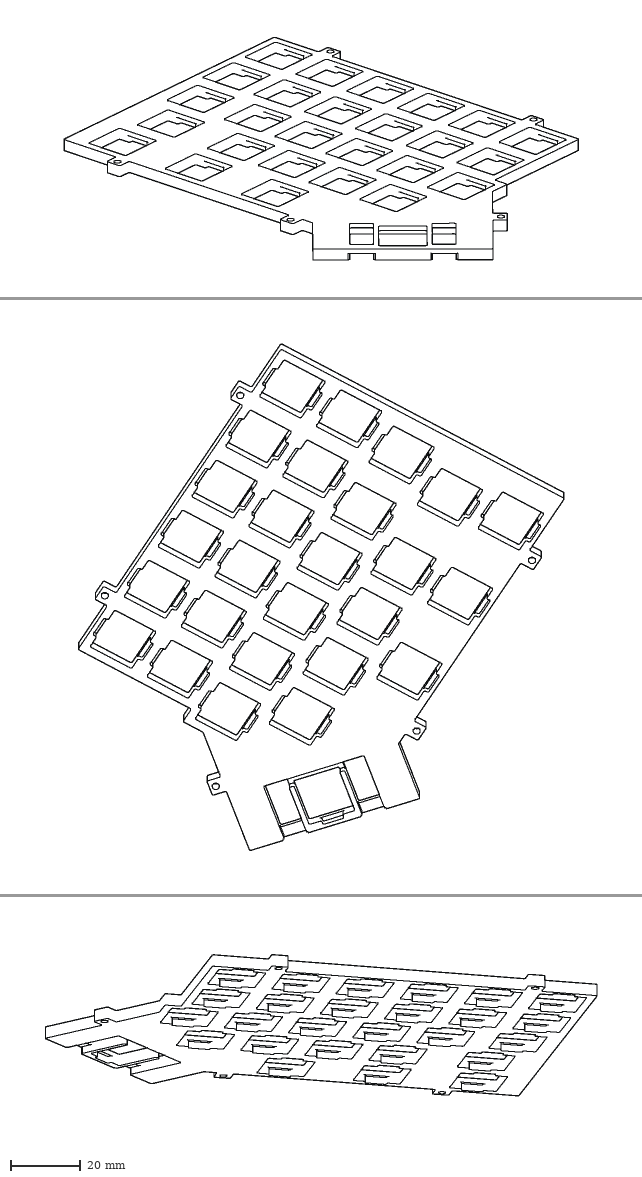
import cadquery as cq
import math


overall_width = 145.3
overall_depth = 113.7
field_width = 114.3
columns = 6
rows = 5
plate_height = 3.5
corner_radius = 0.5

pitch = field_width / columns
field_depth = rows * pitch

switch_size = 14.0
web_thickness = 1.5
recess_height = plate_height - web_thickness
clip_width = 6.4
clip_depth = 1.3

key_rows = [
    [0.5, 1.5, 2.5, 3.5, 4.5, 5.5],
    [0.5, 1.5, 2.5, 3.5, 4.5, 5.5],
    [0.625, 1.75, 2.75, 3.75, 4.75, 5.75],
    [0.875, 2.25, 3.25, 4.25, 5.25],
    [0.75, 2.25, 3.75],
]
wide_rows_right = 6.25 * pitch
wide_rows_top = 3 * pitch

tab_width = 5.0
tab_length = 4.2
tab_hole_diameter = 2.0
tab_hole_offset = 2.3
top_tabs_x = [pitch, 5 * pitch]
bottom_tabs_x = [22.2, 87.2]
thumb_tab_v = 23.1

thumb_angle = 40.0
thumb_angle_rad = math.radians(thumb_angle)
corner_loss = corner_radius * (math.cos(thumb_angle_rad) + math.sin(thumb_angle_rad) - 1)
thumb_corner_x = 105.6
thumb_corner_y = field_depth + tab_length - overall_depth - corner_loss
thumb_length = (overall_width + corner_loss - thumb_corner_x) / math.cos(thumb_angle_rad)
thumb_key_v = 9.5

slot_width = 6.8
slot_length = 15.0
slot_offset = 11.9
slot_centre_v = 10.9
recess_top_v = 18.6
wire_channel_width = 2.8


def thumb_point(u, v):
    """Plate coordinates of a point given in the thumb cluster frame."""
    x = thumb_corner_x + u * math.cos(thumb_angle_rad) - v * math.sin(thumb_angle_rad)
    y = thumb_corner_y + u * math.sin(thumb_angle_rad) + v * math.cos(thumb_angle_rad)
    return (x, y)


def box(width, depth, height):
    """Box centred in X and Y, standing on the underside."""
    return cq.Workplane("XY").box(width, depth, height, centered=(True, True, False))


def place(shape, point, angle=0.0):
    """Turn a shape about Z, then move it to a point."""
    return shape.rotate((0, 0, 0), (0, 0, 1), angle).translate((point[0], point[1], 0))


def plate_body():
    v_left = -thumb_corner_y / math.cos(thumb_angle_rad)
    v_right = (overall_width + corner_loss - wide_rows_right) / math.sin(thumb_angle_rad)
    outline = [
        (0, 0),
        thumb_point(0, v_left),
        thumb_point(0, 0),
        thumb_point(thumb_length, 0),
        thumb_point(thumb_length, v_right),
        (wide_rows_right, wide_rows_top),
        (field_width, wide_rows_top),
        (field_width, field_depth),
        (0, field_depth),
    ]
    return cq.Workplane("XY").polyline(outline).close().extrude(plate_height)


def tab_positions():
    """Root point and outward direction of every tab."""
    top = [((x, field_depth), 90) for x in top_tabs_x]
    bottom = [((x, 0), -90) for x in bottom_tabs_x]
    thumb = [(thumb_point(thumb_length, thumb_tab_v), thumb_angle)]
    return top + bottom + thumb


def tab():
    """Tab along +X, overlapping the plate by its own length."""
    return box(2 * tab_length, tab_width, plate_height)


def tab_hole():
    hole = cq.Workplane("XY").circle(tab_hole_diameter / 2).extrude(plate_height)
    return hole.translate((tab_hole_offset, 0, 0))


def switch_recess():
    """Underside recess of a switch opening: the opening plus a clip pocket in two opposite walls."""
    opening = box(switch_size, switch_size, recess_height)
    clips = box(clip_width, switch_size + 2 * clip_depth, recess_height)
    return opening.union(clips)


def switch_opening():
    return box(switch_size, switch_size, plate_height).edges("|Z").fillet(corner_radius)


def switch_cutter():
    return switch_opening().union(switch_recess().edges("|Z").fillet(corner_radius))


def thumb_cutter():
    """Thumb key, stabilizer slots and their joined underside recess.

    The outer edge lies along X and the cutter is symmetric about the Y axis.
    """
    key_centre = (0, thumb_key_v)
    openings = place(switch_opening(), key_centre)
    slot = box(slot_width, slot_length, plate_height).edges("|Z").fillet(corner_radius)

    channel_v = recess_top_v - wire_channel_width / 2
    recess = place(switch_recess(), key_centre)
    recess = recess.union(place(box(2 * slot_offset, wire_channel_width, recess_height), (0, channel_v)))
    for side in (-1, 1):
        openings = openings.union(place(slot, (side * slot_offset, slot_centre_v)))
        slot_recess = box(slot_width, 2 * recess_top_v, recess_height)
        recess = recess.union(place(slot_recess, (side * slot_offset, 0)))
    return openings.union(recess.edges("|Z").fillet(corner_radius))


def edge_mouth_cutter():
    """Rounded flare of a slot recess where it opens through the outer edge."""
    half = slot_width / 2
    flare = (
        cq.Workplane("XY")
        .moveTo(-half - corner_radius, 0)
        .radiusArc((-half, corner_radius), corner_radius)
        .lineTo(half, corner_radius)
        .radiusArc((half + corner_radius, 0), corner_radius)
        .close()
    )
    return flare.extrude(recess_height)


result = plate_body()
for root, direction in tab_positions():
    result = result.union(place(tab(), root, direction))
result = result.edges("|Z").fillet(corner_radius)

for root, direction in tab_positions():
    result = result.cut(place(tab_hole(), root, direction))

for row, centres in enumerate(key_rows):
    row_y = field_depth - (row + 0.5) * pitch
    for centre in centres:
        result = result.cut(place(switch_cutter(), (centre * pitch, row_y)))

thumb_middle = thumb_length / 2
result = result.cut(place(thumb_cutter(), thumb_point(thumb_middle, 0), thumb_angle))
for side in (-1, 1):
    mouth_point = thumb_point(thumb_middle + side * slot_offset, 0)
    result = result.cut(place(edge_mouth_cutter(), mouth_point, thumb_angle))